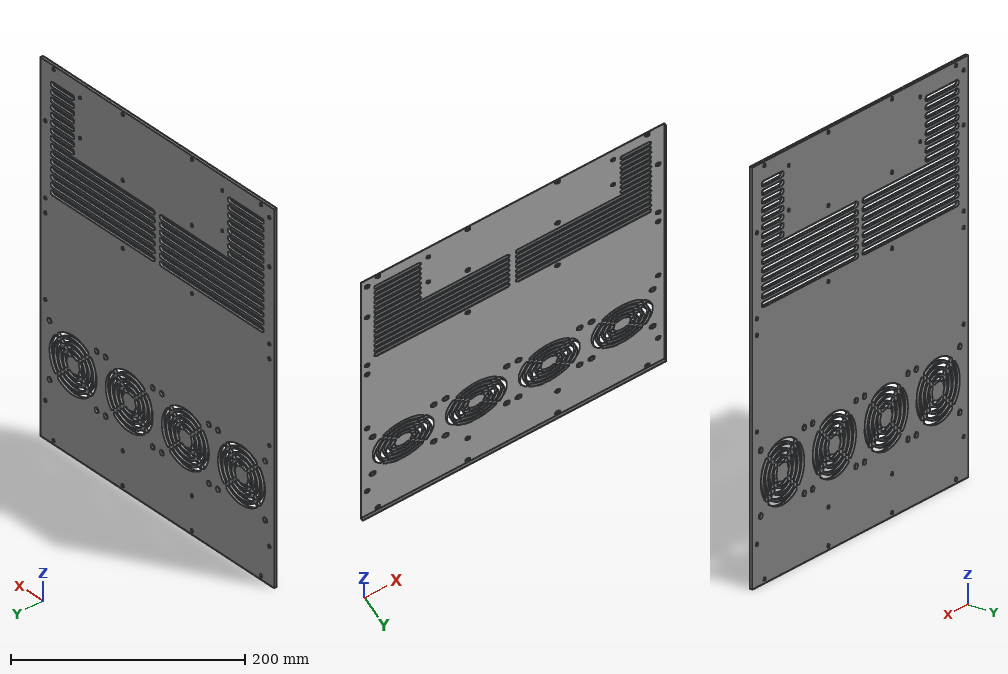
import cadquery as cq
import math

WIDTH = 304.0
THICKNESS = 3.0
HEIGHT = 393.0

SCREW_DIAMETER = 3.0
SCREW_SINK_DIAMETER = 5.0
SCREW_PITCH = 90.0
INNER_SCREW_X = SCREW_PITCH / 2
OUTER_SCREW_X = INNER_SCREW_X + SCREW_PITCH
SIDE_SCREW_INSET = 6.3
SIDE_SCREW_X = WIDTH / 2 - SIDE_SCREW_INSET
EDGE_SCREW_INSET = 4.0
EDGE_SCREW_Z = HEIGHT / 2 - EDGE_SCREW_INSET
UPPER_SCREW_Z = 124.0
MIDDLE_SCREW_Z = 53.5
LOWER_SCREW_Z = -156.5
SIDE_SCREW_ZS = [133.5, MIDDLE_SCREW_Z, 38.0, -52.0, LOWER_SCREW_Z]
LEFT_CORNER_SCREW_Z = 184.7

BRACKET_HOLE_DIAMETER = 2.8
BRACKET_SINK_DIAMETER = 4.5
BRACKET_LEFT_X = -84.5
BRACKET_RIGHT_X = 100.5
BRACKET_ZS = [139.0, 180.8]

SINK_HALF_ANGLE = 45

SLOT_HEIGHT = 5.0
SHORT_SLOT_ROWS = 8
LONG_SLOT_ROWS = 7
TOP_SLOT_Z = 176.0
BOTTOM_SLOT_Z = 63.5
SLOT_PITCH = (TOP_SLOT_Z - BOTTOM_SLOT_Z) / (SHORT_SLOT_ROWS + LONG_SLOT_ROWS - 1)
VENT_OUTER_X = 138.7
VENT_INNER_X = 3.0
SHORT_LEFT_END_X = -92.0
SHORT_RIGHT_END_X = 108.0

FAN_COUNT = 4
FAN_PITCH = 73.0
FAN_Z = -101.5
FAN_HOLE_SPACING = 61.5
FAN_HOLE_DIAMETER = 5.0
FAN_SINK_DIAMETER = 6.3
HUB_RADIUS = 8.5
GRILLE_RADIUS = 30.5
RING_WIDTH = 2.0
SPOKE_WIDTH = 2.0
OPENING_COUNT = 4
OPENING_WIDTH = (GRILLE_RADIUS - HUB_RADIUS - (OPENING_COUNT - 1) * RING_WIDTH) / OPENING_COUNT


def face_plane():
    """Sketch plane through the middle of the plate: local x is X and local y is Z."""
    return cq.Workplane("XZ")


def cut_holes(body, centers, diameter):
    """Drill round holes through the plate at (x, z) centers."""
    drills = face_plane().pushPoints(centers).circle(diameter / 2).extrude(THICKNESS, both=True)
    return body.cut(drills)


def cut_countersunk_holes(body, centers, diameter, sink_diameter):
    """Drill through holes with a 90 degree countersink on the front (-Y) face."""
    front = face_plane().workplane(offset=THICKNESS / 2)
    sink_depth = (sink_diameter - diameter) / 2 / math.tan(math.radians(SINK_HALF_ANGLE))
    rims = front.pushPoints(centers).circle(sink_diameter / 2)
    sinks = rims.extrude(-sink_depth, taper=SINK_HALF_ANGLE)
    return cut_holes(body.cut(sinks), centers, diameter)


def slot_cutter(left_x, right_x, first_row, row_count):
    """Column of round-ended slots between two X limits."""
    center_x = (left_x + right_x) / 2
    rows = range(first_row, first_row + row_count)
    centers = [(center_x, TOP_SLOT_Z - row * SLOT_PITCH) for row in rows]
    slots = face_plane().pushPoints(centers).slot2D(right_x - left_x, SLOT_HEIGHT)
    return slots.extrude(THICKNESS, both=True)


def arc_opening(radius):
    """Round-ended arc opening centered on +Z, with its centerline at the given radius."""
    cap_radius = OPENING_WIDTH / 2
    half_angle = math.pi / 4 - math.asin((cap_radius + SPOKE_WIDTH / 2) / radius)

    def polar(distance, angle):
        return (distance * math.sin(angle), distance * math.cos(angle))

    inner = radius - cap_radius
    outer = radius + cap_radius
    end_middle_x, end_middle_z = polar(radius, half_angle)
    cap_x = end_middle_x + cap_radius * math.cos(half_angle)
    cap_z = end_middle_z - cap_radius * math.sin(half_angle)
    outline = (
        face_plane()
        .moveTo(*polar(outer, -half_angle))
        .threePointArc((0, outer), polar(outer, half_angle))
        .threePointArc((cap_x, cap_z), polar(inner, half_angle))
        .threePointArc((0, inner), polar(inner, -half_angle))
        .threePointArc((-cap_x, cap_z), polar(outer, -half_angle))
        .close()
    )
    return outline.extrude(THICKNESS, both=True)


def grille_cutter():
    """Concentric arc openings in four quadrants around a hub."""
    openings = []
    for index in range(OPENING_COUNT):
        radius = HUB_RADIUS + OPENING_WIDTH / 2 + index * (OPENING_WIDTH + RING_WIDTH)
        opening = arc_opening(radius)
        for quadrant in range(4):
            turned = opening.rotate((0, 0, 0), (0, 1, 0), quadrant * 90)
            openings.append(turned.val())
    return cq.Workplane(cq.Compound.makeCompound(openings))


plate = cq.Workplane("XY").box(WIDTH, THICKNESS, HEIGHT)

screw_centers = [(-SIDE_SCREW_X, LEFT_CORNER_SCREW_Z)]
for side in (-1, 1):
    for z in (EDGE_SCREW_Z, -EDGE_SCREW_Z):
        screw_centers.append((side * OUTER_SCREW_X, z))
    for z in (EDGE_SCREW_Z, UPPER_SCREW_Z, MIDDLE_SCREW_Z, LOWER_SCREW_Z, -EDGE_SCREW_Z):
        screw_centers.append((side * INNER_SCREW_X, z))
    for z in SIDE_SCREW_ZS:
        screw_centers.append((side * SIDE_SCREW_X, z))
plate = cut_countersunk_holes(plate, screw_centers, SCREW_DIAMETER, SCREW_SINK_DIAMETER)

bracket_centers = [(x, z) for x in (BRACKET_LEFT_X, BRACKET_RIGHT_X) for z in BRACKET_ZS]
plate = cut_countersunk_holes(plate, bracket_centers, BRACKET_HOLE_DIAMETER, BRACKET_SINK_DIAMETER)

plate = plate.cut(slot_cutter(-VENT_OUTER_X, SHORT_LEFT_END_X, 0, SHORT_SLOT_ROWS))
plate = plate.cut(slot_cutter(SHORT_RIGHT_END_X, VENT_OUTER_X, 0, SHORT_SLOT_ROWS))
plate = plate.cut(slot_cutter(-VENT_OUTER_X, -VENT_INNER_X, SHORT_SLOT_ROWS, LONG_SLOT_ROWS))
plate = plate.cut(slot_cutter(VENT_INNER_X, VENT_OUTER_X, SHORT_SLOT_ROWS, LONG_SLOT_ROWS))

grille = grille_cutter()
half_spacing = FAN_HOLE_SPACING / 2
for fan in range(FAN_COUNT):
    fan_x = (fan - (FAN_COUNT - 1) / 2) * FAN_PITCH
    plate = plate.cut(grille.translate((fan_x, 0, FAN_Z)))
    mount_centers = [
        (fan_x + dx, FAN_Z + dz)
        for dx in (-half_spacing, half_spacing)
        for dz in (-half_spacing, half_spacing)
    ]
    plate = cut_countersunk_holes(plate, mount_centers, FAN_HOLE_DIAMETER, FAN_SINK_DIAMETER)

result = plate